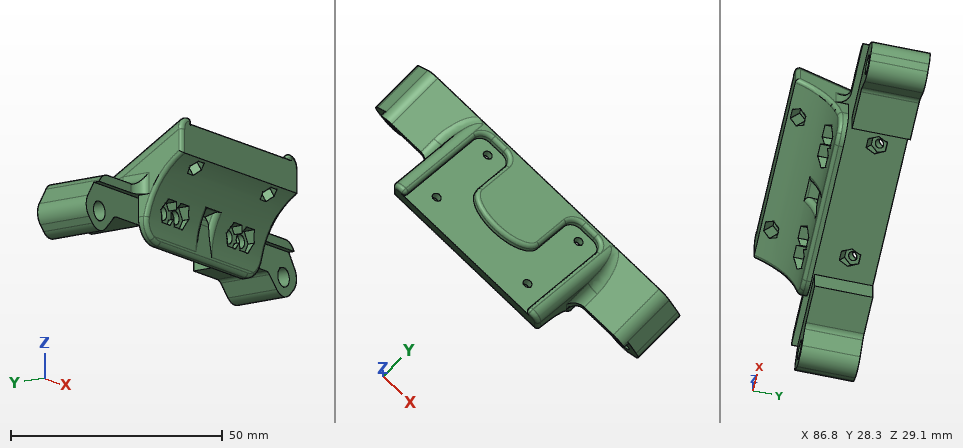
import cadquery as cq
import math

OVERALL_LENGTH = 86.77
BODY_HALF_WIDTH = 24.0
BODY_DEPTH = 28.3
SLOPE_ANGLE = 30.0
ARM_TOP = 13.5
SLOPE_COS = math.cos(math.radians(SLOPE_ANGLE))
SLOPE_SIN = math.sin(math.radians(SLOPE_ANGLE))
SLOPE_TAN = math.tan(math.radians(SLOPE_ANGLE))
BODY_PEAK = ARM_TOP + BODY_DEPTH * SLOPE_TAN
EDGE_FILLET = 1.0
SIDE_FILLET = 2.98

FRONT_FACE_BOTTOM = 20.0
UNDERSIDE_RADIUS = 21.2
UNDERSIDE_SWEEP = 90.0 - SLOPE_ANGLE
LIP_FRONT = BODY_DEPTH - UNDERSIDE_RADIUS * (1 - math.cos(math.radians(UNDERSIDE_SWEEP)))
UNDERSIDE_START = FRONT_FACE_BOTTOM - UNDERSIDE_RADIUS * math.sin(math.radians(UNDERSIDE_SWEEP))

LIP_BACK = 15.6
LIP_CORNER_RADIUS = 6.0
GAP_TOP = 11.3

LUG_FRONT = 14.1
ARM_INNER_END = BODY_HALF_WIDTH - SIDE_FILLET
ARM_BOTTOM = 4.75
LUG_RADIUS = 4.0
LUG_SLOPE_ANGLE = 56.0
LUG_BOTTOM_X = 38.0
LUG_HOLE_DIAMETER = 4.75
LUG_HOLE_HEIGHT = 4.75
LUG_ARM_FILLET = 2.0
ARM_ROOT_FILLET = 3.0

DECK_DEPTH = 2.0
DECK_HALF_WIDTH = 20.0
DECK_START = 1.7
DECK_CORNER_RADIUS = 3.0
TONGUE_HALF_WIDTH = 10.0
TONGUE_END = 20.6
TONGUE_TIP_LENGTH = 5.3

SCREW_HALF_SPACING = 15.0
SCREW_ROWS = (4.85, 24.85)
SCREW_DIAMETER = 2.2
SCREW_NUT_FLATS = 4.0
SCREW_SEAT = 2.0
SCREW_NUT_REACH = 10.0

LIP_HOLE_PAIR_X = 13.5
LIP_HOLE_SPACING = 5.1
LIP_HOLE_HEIGHT = 8.4
LIP_HOLE_DIAMETER = 3.4
LIP_NUT_FLATS = 5.5
LIP_NUT_FLOOR = 17.0

GROOVE_HALF_WIDTH = 1.95
GROOVE_EDGE_RADIUS = 1.3
GROOVE_BEND_START = 8.75
GROOVE_BEND_RADIUS = 3.1
GROOVE_TOP_BACK = 11.4
GROOVE_TOP_FRONT = 12.15
GROOVE_TOP_DEPTH = 19.9

REACH = 100.0
TINY = 0.01

SLOPE_PLANE = cq.Plane(origin=(0, 0, ARM_TOP), xDir=(-1, 0, 0), normal=(0, SLOPE_SIN, SLOPE_COS))


def block(x_range, y_range, z_range):
    """Axis-aligned box between the given limits."""
    size = [high - low for low, high in (x_range, y_range, z_range)]
    corner = (x_range[0], y_range[0], z_range[0])
    return cq.Workplane("XY").box(*size, centered=False).translate(corner)


def hexagon_diameter(flats):
    """Corner-to-corner size of a hexagon from its size across flats."""
    return flats / math.cos(math.radians(30))


def on_circle(center, radius, angle):
    """Point of a circle at an angle in degrees."""
    turn = math.radians(angle)
    return (center[0] + radius * math.cos(turn), center[1] + radius * math.sin(turn))


def make_wedge():
    """Solid between the back face, the sloping top and the concave underside."""
    arc_center = (-LIP_FRONT - UNDERSIDE_RADIUS, UNDERSIDE_START)
    return (
        cq.Workplane("YZ")
        .lineTo(-LIP_FRONT, 0)
        .lineTo(-LIP_FRONT, UNDERSIDE_START)
        .threePointArc(
            on_circle(arc_center, UNDERSIDE_RADIUS, UNDERSIDE_SWEEP / 2),
            on_circle(arc_center, UNDERSIDE_RADIUS, UNDERSIDE_SWEEP),
        )
        .lineTo(-BODY_DEPTH, BODY_PEAK)
        .lineTo(0, ARM_TOP)
        .close()
        .extrude(BODY_HALF_WIDTH, both=True)
    )


def groove_fill():
    """Material left standing behind the floor of the groove and above its ceiling."""
    bend_center = (GROOVE_BEND_RADIUS - LIP_FRONT, GROOVE_BEND_START)
    bend_end = on_circle(bend_center, GROOVE_BEND_RADIUS, 180 - SLOPE_ANGLE)
    ramp_run = (GROOVE_TOP_BACK - bend_end[1]) * SLOPE_TAN
    return (
        cq.Workplane("YZ")
        .lineTo(-LIP_FRONT, 0)
        .lineTo(-LIP_FRONT, GROOVE_BEND_START)
        .threePointArc(on_circle(bend_center, GROOVE_BEND_RADIUS, 180 - SLOPE_ANGLE / 2), bend_end)
        .lineTo(bend_end[0] + ramp_run, GROOVE_TOP_BACK)
        .lineTo(-GROOVE_TOP_DEPTH, GROOVE_TOP_FRONT)
        .lineTo(-BODY_DEPTH, GROOVE_TOP_FRONT)
        .lineTo(-BODY_DEPTH, BODY_PEAK)
        .lineTo(0, BODY_PEAK)
        .close()
        .extrude(BODY_HALF_WIDTH, both=True)
    )


def groove_cut():
    """Cutting tool for the groove with rounded edges in the middle of the concave underside."""
    wedge = make_wedge()
    slot = block((-GROOVE_HALF_WIDTH, GROOVE_HALF_WIDTH), (-REACH, -LIP_BACK), (-REACH, REACH))
    mouth = cq.selectors.BoxSelector(
        (-GROOVE_HALF_WIDTH - TINY, -BODY_DEPTH + TINY, UNDERSIDE_START + TINY),
        (GROOVE_HALF_WIDTH + TINY, -LIP_FRONT - TINY, FRONT_FACE_BOTTOM - TINY),
    )
    slotted = wedge.cut(slot).edges(mouth).fillet(GROOVE_EDGE_RADIUS)
    return wedge.cut(slotted).cut(groove_fill())


def deck_pocket():
    """Cutting tool for the recess: open at the front, with a rounded tongue left standing at the back."""
    floor = cq.Workplane(SLOPE_PLANE).workplane(offset=-DECK_DEPTH)
    tip_base = TONGUE_END - TONGUE_TIP_LENGTH
    tongue = (
        floor.rect(2 * TONGUE_HALF_WIDTH, 2 * tip_base)
        .extrude(REACH)
        .union(floor.center(0, tip_base).ellipse(TONGUE_HALF_WIDTH, TONGUE_TIP_LENGTH).extrude(REACH))
    )
    recess = floor.center(0, DECK_START + REACH / 2).rect(2 * DECK_HALF_WIDTH, REACH).extrude(REACH)
    back_corners = cq.selectors.DirectionMinMaxSelector(SLOPE_PLANE.yDir, False)
    return (
        recess.cut(tongue)
        .edges(cq.selectors.ParallelDirSelector(SLOPE_PLANE.zDir))
        .edges(back_corners)
        .fillet(DECK_CORNER_RADIUS)
    )


def on_slope(edge):
    """True for an edge lying in the sloping top."""
    return all(abs(SLOPE_PLANE.toLocalCoords(cq.Vector(v.Center())).z) < TINY for v in edge.Vertices())


def round_edges(body, radius, wanted):
    """Fillet the edges for which wanted(edge) is true."""
    return body.newObject([edge for edge in body.edges().vals() if wanted(edge)]).fillet(radius)


def make_body():
    """Deck block and lip, hollow behind the lip."""

    def side_top(edge):
        return on_slope(edge) and abs(edge.Center().x) > BODY_HALF_WIDTH - TINY

    def front_outline(edge):
        center = edge.Center()
        across = edge.BoundingBox().zlen < TINY and TINY < center.z < FRONT_FACE_BOTTOM + TINY
        return edge.BoundingBox().ymax < TINY - LIP_FRONT and not across

    def tongue_tip(edge):
        center = edge.Center()
        behind_front = TINY - BODY_DEPTH < center.y < -BODY_DEPTH / 2
        return on_slope(edge) and abs(center.x) < TINY and behind_front

    body = make_wedge().edges("|Y").edges("<Z").edges("<X or >X").fillet(LIP_CORNER_RADIUS)
    body = round_edges(body, SIDE_FILLET, side_top)
    body = round_edges(body, EDGE_FILLET, front_outline)
    body = body.cut(deck_pocket())
    body = round_edges(body, EDGE_FILLET, tongue_tip)
    return body.cut(block((-REACH, REACH), (-LIP_BACK, REACH), (-REACH, GAP_TOP)))


def make_arm():
    """Arm at +X with its lug, rounded along arcs of one radius around three centers."""
    tip_center_x = OVERALL_LENGTH / 2 - LUG_RADIUS
    bottom_center = (LUG_BOTTOM_X, LUG_RADIUS)
    tip_center = (tip_center_x, LUG_RADIUS + tip_center_x - LUG_BOTTOM_X)
    shoulder_drop = ARM_TOP - LUG_RADIUS - tip_center[1]
    shoulder_x = tip_center_x - shoulder_drop / math.tan(math.radians(LUG_SLOPE_ANGLE))
    shoulder_center = (shoulder_x, ARM_TOP - LUG_RADIUS)
    slope_normal = 90 - LUG_SLOPE_ANGLE

    lug_foot = on_circle(bottom_center, LUG_RADIUS, -135)
    corner_x = lug_foot[0] - (ARM_BOTTOM - lug_foot[1])
    foot_center = (corner_x - LUG_ARM_FILLET * math.tan(math.radians(22.5)), ARM_BOTTOM - LUG_ARM_FILLET)

    profile = (
        cq.Workplane("XZ")
        .moveTo(ARM_INNER_END, ARM_TOP)
        .lineTo(shoulder_x, ARM_TOP)
        .threePointArc(
            on_circle(shoulder_center, LUG_RADIUS, (90 + slope_normal) / 2),
            on_circle(shoulder_center, LUG_RADIUS, slope_normal),
        )
        .lineTo(*on_circle(tip_center, LUG_RADIUS, slope_normal))
        .threePointArc(
            on_circle(tip_center, LUG_RADIUS, 0),
            on_circle(tip_center, LUG_RADIUS, -45),
        )
        .lineTo(*on_circle(bottom_center, LUG_RADIUS, -45))
        .threePointArc(on_circle(bottom_center, LUG_RADIUS, -90), lug_foot)
        .lineTo(*on_circle(foot_center, LUG_ARM_FILLET, 45))
        .threePointArc(
            on_circle(foot_center, LUG_ARM_FILLET, 67.5),
            on_circle(foot_center, LUG_ARM_FILLET, 90),
        )
        .lineTo(ARM_INNER_END, ARM_BOTTOM)
        .close()
    )
    hole = (
        cq.Workplane("XZ")
        .center(LUG_BOTTOM_X, LUG_HOLE_HEIGHT)
        .circle(LUG_HOLE_DIAMETER / 2)
        .extrude(REACH)
    )
    step = block((0, REACH), (-REACH, -LUG_FRONT), (-REACH, GAP_TOP))
    return profile.extrude(LIP_BACK).cut(step).cut(hole)


def add_arms(body):
    """Join both arms to the body, with rounded roots on their top and front."""

    def arm_root(edge):
        center = edge.Center()
        on_side = abs(abs(center.x) - BODY_HALF_WIDTH) < TINY
        return on_side and center.y > -LIP_BACK - TINY and GAP_TOP < center.z < ARM_TOP + TINY

    arm = make_arm()
    joined = body.union(arm).union(arm.mirror("YZ"))
    return round_edges(joined, ARM_ROOT_FILLET, arm_root)


def deck_screw_cuts():
    """Screw holes square to the deck, widening below into hexagonal nut pockets."""
    places = [(x, row) for x in (-SCREW_HALF_SPACING, SCREW_HALF_SPACING) for row in SCREW_ROWS]
    deck = cq.Workplane(SLOPE_PLANE).workplane(offset=-DECK_DEPTH).pushPoints(places)
    holes = deck.circle(SCREW_DIAMETER / 2).extrude(-SCREW_SEAT)
    seats = cq.Workplane(SLOPE_PLANE).workplane(offset=-DECK_DEPTH - SCREW_SEAT).pushPoints(places)
    nuts = seats.polygon(6, hexagon_diameter(SCREW_NUT_FLATS)).extrude(-SCREW_NUT_REACH)
    return holes.union(nuts)


def lip_screw_cuts():
    """Two pairs of holes through the lip, with hexagonal nut pockets from the front."""
    places = [
        (side * LIP_HOLE_PAIR_X + shift, LIP_HOLE_HEIGHT)
        for side in (-1, 1)
        for shift in (-LIP_HOLE_SPACING / 2, LIP_HOLE_SPACING / 2)
    ]
    holes = (
        cq.Workplane("XZ", origin=(0, TINY - LIP_BACK, 0))
        .pushPoints(places)
        .circle(LIP_HOLE_DIAMETER / 2)
        .extrude(BODY_DEPTH - LIP_BACK)
    )
    for place in places:
        nut = (
            cq.Workplane("XZ", origin=(0, -LIP_NUT_FLOOR, 0))
            .center(*place)
            .polygon(6, hexagon_diameter(LIP_NUT_FLATS))
            .extrude(BODY_DEPTH - LIP_NUT_FLOOR)
        )
        holes = holes.union(nut)
    return holes


result = add_arms(make_body())
result = result.cut(groove_cut()).cut(deck_screw_cuts()).cut(lip_screw_cuts())